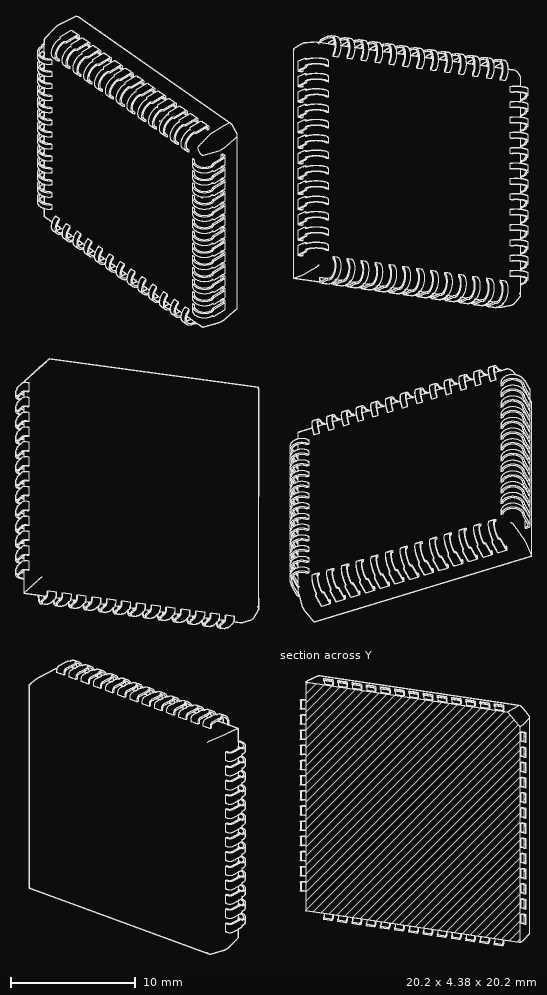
import cadquery as cq
import math


overall_span = 20.2
overall_height = 4.38
seating_y = -overall_height / 2
back_y = overall_height / 2

body_width = 19.2
body_height = 3.92
band_back_depth = 1.74
parting_depth = 2.18
back_draft_angle = 6.0
front_draft_angle = 9.3
back_rim_radius = 0.22
front_rim_radius = 0.25
corner_cut = 1.1

leads_per_side = 13
lead_pitch = 1.27
lead_thickness = 0.151
shoulder_radius = 0.3
hook_radius = 0.97
hook_sweep = 150.0
lead_wide = 0.75
lead_narrow = 0.46
lead_embed = 0.4

front_y = back_y - body_height
band_back_y = back_y - band_back_depth
parting_y = back_y - parting_depth
lead_back_y = parting_y + shoulder_radius
hook_y = seating_y + hook_radius


def drafted_block(start_y, end_y, start_rect, end_rect):
    """Loft between two rectangles, each given as (width, height, centre z)."""
    wires = []
    for y, (width, height, centre_z) in ((start_y, start_rect), (end_y, end_rect)):
        section = cq.Workplane("XZ", origin=(0, y, centre_z)).rect(width, height)
        wires.append(section.val())
    return cq.Workplane(cq.Solid.makeLoft(wires, True))


def make_body():
    full_rect = (body_width, body_width, 0)

    back_inset = band_back_depth * math.tan(math.radians(back_draft_angle))
    back_rect = (body_width - 2 * back_inset, body_width - back_inset, back_inset / 2)

    front_depth = parting_y - front_y
    front_inset = front_depth * math.tan(math.radians(front_draft_angle))
    front_width = body_width - 2 * front_inset
    front_rect = (front_width, front_width, 0)

    band = drafted_block(band_back_y, parting_y, full_rect, full_rect)
    back_half = drafted_block(band_back_y, back_y, full_rect, back_rect)
    front_half = drafted_block(parting_y, front_y, full_rect, front_rect)
    body = band.union(back_half).union(front_half).clean()
    body = body.faces(">Y").edges().fillet(back_rim_radius)
    body = body.faces("<Y").edges().fillet(front_rim_radius)

    half = body_width / 2
    corner = (
        cq.Workplane("XZ", origin=(0, back_y, 0))
        .moveTo(half - corner_cut, half)
        .lineTo(half, half)
        .lineTo(half, half - corner_cut)
        .close()
        .extrude(body_height)
    )
    return body.cut(corner)


def make_lead():
    """One lead on the +X side, centred on z = 0."""
    outer_x = overall_span / 2
    inner_x = outer_x - lead_thickness
    root_x = body_width / 2 - lead_embed
    shoulder_x = outer_x - shoulder_radius
    hook_x = outer_x - hook_radius
    hook_inner_radius = hook_radius - lead_thickness
    shoulder_inner_radius = shoulder_radius - lead_thickness

    def on_arc(centre_x, centre_y, radius, degrees):
        angle = math.radians(degrees)
        return (centre_x + radius * math.cos(angle), centre_y + radius * math.sin(angle))

    profile = (
        cq.Workplane("XY", origin=(0, 0, -lead_wide / 2))
        .moveTo(root_x, lead_back_y)
        .lineTo(shoulder_x, lead_back_y)
        .threePointArc(
            on_arc(shoulder_x, parting_y, shoulder_radius, 45),
            (outer_x, parting_y),
        )
        .lineTo(outer_x, hook_y)
        .threePointArc(
            on_arc(hook_x, hook_y, hook_radius, -hook_sweep / 2),
            on_arc(hook_x, hook_y, hook_radius, -hook_sweep),
        )
        .lineTo(*on_arc(hook_x, hook_y, hook_inner_radius, -hook_sweep))
        .threePointArc(
            on_arc(hook_x, hook_y, hook_inner_radius, -hook_sweep / 2),
            (inner_x, hook_y),
        )
        .lineTo(inner_x, parting_y)
        .threePointArc(
            on_arc(shoulder_x, parting_y, shoulder_inner_radius, 45),
            (shoulder_x, lead_back_y - lead_thickness),
        )
        .lineTo(root_x, lead_back_y - lead_thickness)
        .close()
        .extrude(lead_wide)
    )

    taper_y = hook_y + (lead_wide - lead_narrow) / 2
    outline = (
        cq.Workplane("YZ")
        .moveTo(lead_back_y, lead_wide / 2)
        .lineTo(taper_y, lead_wide / 2)
        .lineTo(hook_y, lead_narrow / 2)
        .lineTo(seating_y, lead_narrow / 2)
        .lineTo(seating_y, -lead_narrow / 2)
        .lineTo(hook_y, -lead_narrow / 2)
        .lineTo(taper_y, -lead_wide / 2)
        .lineTo(lead_back_y, -lead_wide / 2)
        .close()
        .extrude(outer_x)
    )
    return profile.intersect(outline)


def make_all_leads():
    lead = make_lead().val()
    first_z = -lead_pitch * (leads_per_side - 1) / 2
    leads = []
    for side_angle in (0, 90, 180, 270):
        for index in range(leads_per_side):
            placed = lead.translate(cq.Vector(0, 0, first_z + index * lead_pitch))
            leads.append(placed.rotate(cq.Vector(0, 0, 0), cq.Vector(0, 1, 0), side_angle))
    return leads


result = cq.Workplane(make_body().val().fuse(*make_all_leads()))